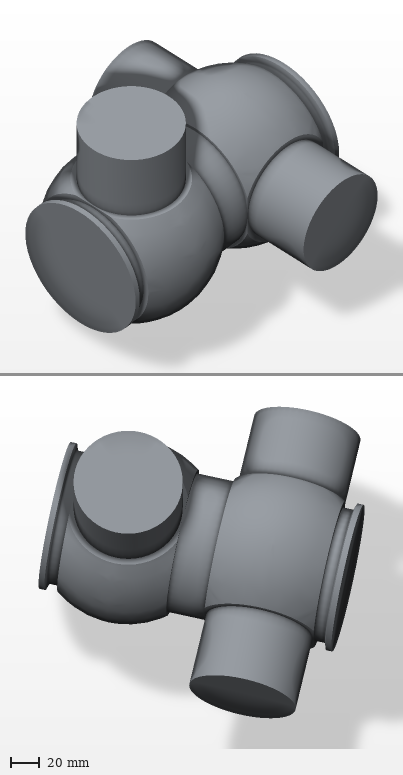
import cadquery as cq

overall_length = 209.5
overall_width = 203.9
body_spacing = 105.0
ball_radius = 65.2
ball_half_length = 39.0
front_y = -body_spacing / 2
rear_y = body_spacing / 2

neck_radius = 49.5
seat_distance = neck_radius

pipe_radius = 38.1
pipe_reach = overall_width / 2

flange_radius = 52.4
flange_rim = 4.2
collar_radius = 47.5
blend_outer_radius = 48.6
blend_outer_depth = 5.5
blend_inner_depth = 7.0

X_AXIS = cq.Vector(1, 0, 0)
Y_AXIS = cq.Vector(0, 1, 0)
Z_AXIS = cq.Vector(0, 0, 1)


def cylinder(center_y, radius, length, direction):
    """Cylinder starting on the Y axis and running along direction."""
    solid = cq.Solid.makeCylinder(radius, length, cq.Vector(0, center_y, 0), direction)
    return cq.Workplane(solid)


def ball_body(center_y, seat_directions):
    """Ball cut flat at both Y ends and at each pipe seat, with its pipes attached."""
    diameter = 2 * ball_radius
    body = cq.Workplane().sphere(ball_radius)
    body = body.intersect(cq.Workplane().box(diameter, 2 * ball_half_length, diameter))
    for direction in seat_directions:
        cutter_center = direction * (seat_distance + ball_radius)
        cutter = cq.Workplane().box(diameter, diameter, diameter).translate(cutter_center)
        body = body.cut(cutter)
    body = body.translate((0, center_y, 0))
    for direction in seat_directions:
        body = body.union(cylinder(center_y, pipe_radius, pipe_reach, direction))
    return body


def end_flange():
    """Collar and flange revolved about Y, with the outer face at the rear end."""
    face_y = overall_length / 2
    return (
        cq.Workplane("XY")
        .moveTo(0, rear_y)
        .lineTo(collar_radius, rear_y)
        .lineTo(collar_radius, face_y - blend_inner_depth)
        .tangentArcPoint((blend_outer_radius, face_y - blend_outer_depth), relative=False)
        .lineTo(flange_radius, face_y - flange_rim)
        .lineTo(flange_radius, face_y)
        .lineTo(0, face_y)
        .close()
        .revolve(360, (0, 0), (0, 1))
    )


rear_body = ball_body(rear_y, [X_AXIS, -X_AXIS])
front_body = ball_body(front_y, [Z_AXIS])
neck = cylinder(front_y, neck_radius, body_spacing, Y_AXIS)
rear_flange = end_flange()
front_flange = rear_flange.mirror("XZ")

result = rear_body.union(neck).union(front_body).union(rear_flange).union(front_flange)